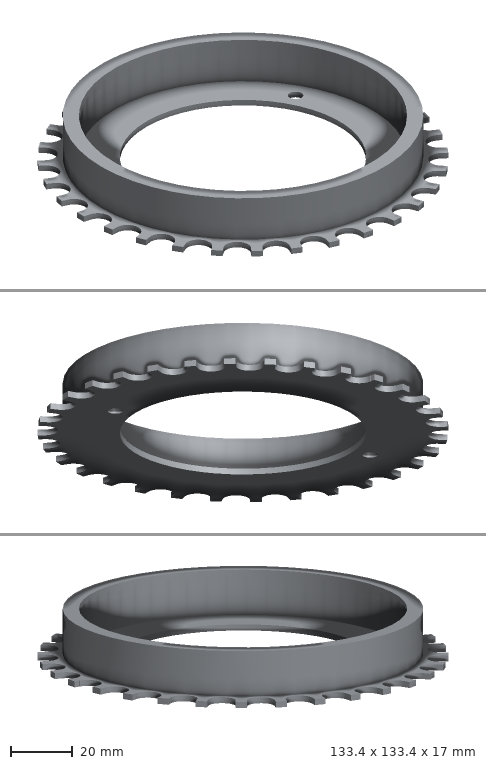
import cadquery as cq
import math

plate_thickness = 2.0
rim_height = 15.0

plate_bore_diameter = 80.0
rim_outer_diameter = 117.0
rim_inner_diameter = 106.5

screw_hole_diameter = 5.0
screw_circle_diameter = 92.9
screw_hole_count = 2
first_screw_angle = 90.0

tip_radius = 66.7
pitch_radius = 64.7
tooth_width = 3.7
tooth_count = 32
first_tooth_angle = 3.0
tooth_spacing = 360.0 / tooth_count
half_spacing = math.radians(tooth_spacing / 2)
gap_radius = pitch_radius * math.sin(half_spacing) - tooth_width / 2
tooth_base_radius = pitch_radius * math.cos(half_spacing)

loose_tooth_index = 5


def tooth_block(index):
    """Straight block as wide as one tooth, from the chord between gap centres out to its tip."""
    length = tip_radius - tooth_base_radius
    block = cq.Workplane("XY").box(length, tooth_width, plate_thickness, centered=(False, True, False))
    angle = first_tooth_angle + index * tooth_spacing
    return block.translate((tooth_base_radius, 0, 0)).rotate((0, 0, 0), (0, 0, 1), angle)


def make_plate():
    """Flat toothed ring with a central bore and screw holes; one tooth stops at the pitch circle."""
    plate = cq.Workplane("XY").circle(pitch_radius).circle(plate_bore_diameter / 2).extrude(plate_thickness)
    gaps = (
        cq.Workplane("XY")
        .polarArray(pitch_radius, first_tooth_angle + tooth_spacing / 2, 360, tooth_count)
        .circle(gap_radius)
        .extrude(plate_thickness)
    )
    screw_holes = (
        cq.Workplane("XY")
        .polarArray(screw_circle_diameter / 2, first_screw_angle, 360, screw_hole_count)
        .circle(screw_hole_diameter / 2)
        .extrude(plate_thickness)
    )
    plate = plate.cut(gaps).cut(screw_holes)
    for index in range(tooth_count):
        if index != loose_tooth_index:
            plate = plate.union(tooth_block(index))
    return plate


def make_rim():
    """Plain cylindrical wall standing on the plate."""
    return (
        cq.Workplane("XY", origin=(0, 0, plate_thickness))
        .circle(rim_outer_diameter / 2)
        .circle(rim_inner_diameter / 2)
        .extrude(rim_height)
    )


def make_tooth_tip(plate):
    """Tip of the loose tooth, seated on the plate at the pitch circle."""
    return tooth_block(loose_tooth_index).cut(plate)


plate = make_plate()
rim = make_rim()
tooth_tip = make_tooth_tip(plate)

result = cq.Compound.makeCompound([plate.solids().val(), rim.val(), tooth_tip.solids().val()])